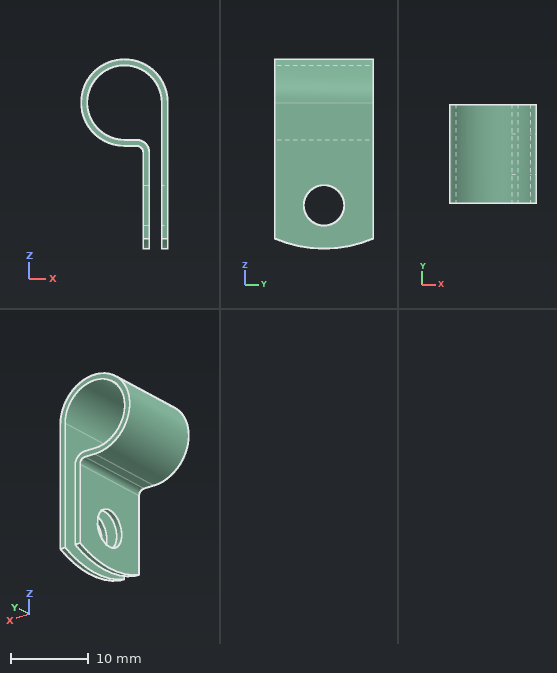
import cadquery as cq
import math

height = 24.37
width = 12.7
loop_radius = 5.58
thickness = 0.8
leg_gap = 1.58
bend_inner = 0.8
end_sag = 1.32
hole_diameter = 5.17
hole_above_end = 5.58

bore_radius = loop_radius - thickness
bottom = loop_radius - height
short_leg_outer = bore_radius - leg_gap
short_leg_inner = short_leg_outer - thickness
bend_outer = bend_inner + thickness
bend_x = short_leg_outer - bend_outer
bend_z = -bore_radius - bend_outer
diagonal = math.sqrt(0.5)
corner_z = bottom + end_sag


def make_strip():
    """Bent strip: long leg, three-quarter loop, bend and short leg."""
    return (
        cq.Workplane("XZ")
        .moveTo(loop_radius, bottom)
        .lineTo(loop_radius, 0)
        .threePointArc((-loop_radius * diagonal, loop_radius * diagonal), (0, -loop_radius))
        .lineTo(bend_x, -loop_radius)
        .threePointArc(
            (bend_x + bend_inner * diagonal, bend_z + bend_inner * diagonal),
            (short_leg_inner, bend_z),
        )
        .lineTo(short_leg_inner, bottom)
        .lineTo(short_leg_outer, bottom)
        .lineTo(short_leg_outer, bend_z)
        .threePointArc(
            (bend_x + bend_outer * diagonal, bend_z + bend_outer * diagonal),
            (bend_x, -bore_radius),
        )
        .lineTo(0, -bore_radius)
        .threePointArc((-bore_radius * diagonal, bore_radius * diagonal), (bore_radius, 0))
        .lineTo(bore_radius, bottom)
        .close()
        .extrude(width / 2, both=True)
    )


def make_side_envelope():
    """Side outline with the arched lower end that trims both legs."""
    return (
        cq.Workplane("YZ")
        .moveTo(-width / 2, loop_radius)
        .lineTo(-width / 2, corner_z)
        .threePointArc((0, bottom), (width / 2, corner_z))
        .lineTo(width / 2, loop_radius)
        .close()
        .extrude(loop_radius, both=True)
    )


def make_screw_hole():
    """Cylinder along X that passes through both legs."""
    return (
        cq.Workplane("YZ")
        .center(0, bottom + hole_above_end)
        .circle(hole_diameter / 2)
        .extrude(loop_radius, both=True)
    )


result = make_strip().intersect(make_side_envelope()).cut(make_screw_hole())